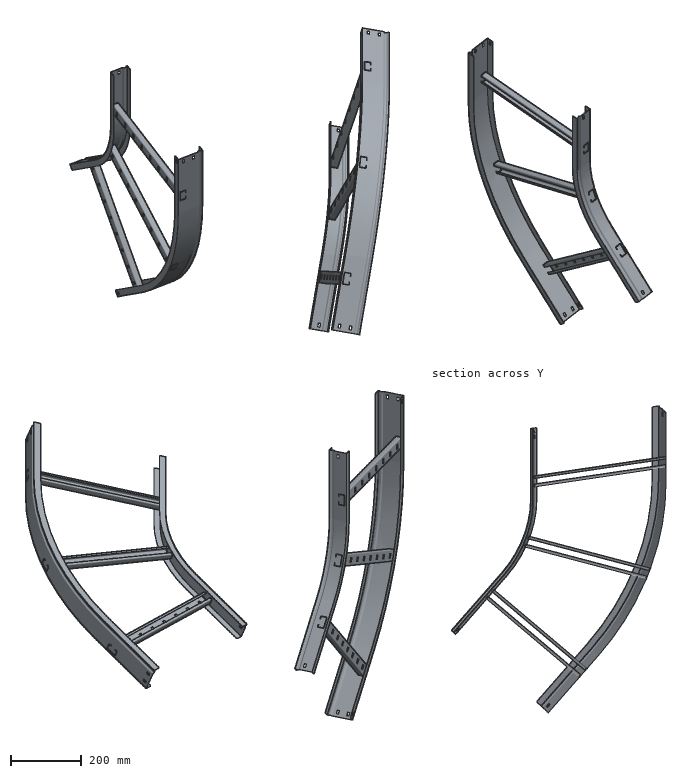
import cadquery as cq
import math


overall_height = 865.0
bend_angle = 45.0
inner_radius = 301.0
ladder_width = 401.0
outer_radius = inner_radius + ladder_width
bend_sine = math.sin(math.radians(bend_angle))
straight_length = (overall_height - outer_radius * bend_sine) / (1 + bend_sine)

sheet = 1.5
inner_rail_height = 54.5
outer_rail_height = 80.0
inner_flange = 19.0
outer_flange = 21.0
tip_chamfer = 3.0
bead_depth = 3.5
bead_start = 4.0
bead_slope = 3.5
bead_flat = 5.0
bead_corner = 1.3
bead_end = bead_start + 2 * bead_slope + bead_flat

rail_slot_length = 10.0
rail_slot_width = 6.0
rail_slot_inset = 15.0
inner_slot_heights = [inner_rail_height / 2]
outer_slot_heights = [18.0, 50.0]

rung_width = 35.0
rung_depth = 20.0
rung_front = 6.0
rung_gap = 17.0
rung_corner = 3.0
rung_setback = 66.0
rung_slot_count = 8
rung_slot_pitch = 49.0
rung_slot_start = 25.0
rung_slot_length = 13.0
rung_slot_width = 7.0


def turn(body, angle):
    """Turn a body about the bend axis, from the upper end towards the lower end."""
    return body.rotate((0, 0, 0), (0, 1, 0), angle)


def slot_cutter(plane, centre, length, width):
    """A rectangular slot, long along Z, that cuts through the sheet around its centre."""
    slot = cq.Workplane(plane, origin=centre).rect(width, length)
    return slot.extrude(2 * sheet, both=True)


def straight_leg(outline, direction):
    """Leg of the given cross-section, running from the bend along +Z or -Z."""
    return cq.Workplane("XY").add(outline).toPending().extrude(direction * straight_length)


def bent_bar(outline, upper_leg, lower_leg):
    """Join two straight legs to the 45 degree arc of the same cross-section."""
    arc = cq.Workplane("XY").add(outline).toPending().revolve(bend_angle, (0, 0, 0), (0, 1, 0))
    return upper_leg.union(arc).union(turn(lower_leg, bend_angle))


def rail_outline(web, inward, flange, height):
    """Channel cross-section; `inward` is the sign of the direction from the web to the flange tips."""
    bead_bottom = height - bead_end
    bead_top = height - bead_start
    bead_levels = [bead_bottom, bead_bottom + bead_slope, bead_top - bead_slope, bead_top]
    bead_offsets = [0, bead_depth, bead_depth, 0]
    outside = [(0, 0)] + list(zip(bead_offsets, bead_levels)) + [(0, height), (flange, height)]
    inside = [(flange, sheet), (sheet, sheet)]
    inside += [(offset + sheet, level) for offset, level in zip(bead_offsets, bead_levels)]
    inside += [(sheet, height - sheet), (flange, height - sheet)]
    corners = outside + inside[::-1] + [(flange, 0)]
    outline = cq.Wire.makePolygon([cq.Vector(web + inward * x, y, 0) for x, y in corners], close=True)
    half_sheet = sheet / 2
    bead_corners = [corner for corner in outline.Vertices()
                    if bead_bottom - half_sheet < corner.Y < bead_top + half_sheet]
    return outline.fillet2D(bead_corner, bead_corners)


def rail_leg(outline, direction, web, inward, slot_heights, flange_slot_offset):
    """Straight leg of a rail, with chamfered flange tips and slots near its end."""
    end_face = ">Z" if direction > 0 else "<Z"
    tips = ">X" if inward > 0 else "<X"
    leg = straight_leg(outline, direction)
    leg = leg.faces(end_face).edges("|Y").edges(tips).chamfer(tip_chamfer)
    slot_z = direction * (straight_length - rail_slot_inset)
    for level in slot_heights:
        leg = leg.cut(slot_cutter("YZ", (web, level, slot_z), rail_slot_length, rail_slot_width))
    if flange_slot_offset is not None:
        slot_x = web + inward * flange_slot_offset
        leg = leg.cut(slot_cutter("XZ", (slot_x, 0, slot_z), rail_slot_length, rail_slot_width))
    return leg


def make_rail(web, inward, flange, height, slot_heights, flange_slot_offset=None):
    outline = rail_outline(web, inward, flange, height)
    upper_leg, lower_leg = [rail_leg(outline, direction, web, inward, slot_heights, flange_slot_offset)
                            for direction in (1, -1)]
    return bent_bar(outline, upper_leg, lower_leg)


def make_envelope():
    """Solid band between the outer web faces of the two rails."""
    corners = [(inner_radius, 0), (inner_radius, outer_rail_height),
               (outer_radius, outer_rail_height), (outer_radius, 0)]
    outline = cq.Wire.makePolygon([cq.Vector(x, y, 0) for x, y in corners], close=True)
    return bent_bar(outline, straight_leg(outline, 1), straight_leg(outline, -1))


def make_rung():
    """Lipped channel along X, open at the back, with a row of slots in its front face."""
    length = ladder_width + 2 * sheet
    blank = cq.Workplane("XY").box(length, rung_depth, rung_width)
    blank = blank.edges("|X").fillet(rung_corner)
    core = cq.Workplane("XY").box(length, rung_depth - 2 * sheet, rung_width - 2 * sheet)
    core = core.edges("|X").fillet(rung_corner - sheet)
    opening = cq.Workplane("XY").box(length, rung_depth, rung_gap).translate((0, rung_depth / 2, 0))
    rung = blank.cut(core).cut(opening)
    rung = rung.translate(((inner_radius + outer_radius) / 2, rung_front + rung_depth / 2, 0))
    for index in range(rung_slot_count):
        slot_x = inner_radius + rung_slot_start + index * rung_slot_pitch
        rung = rung.cut(slot_cutter("XZ", (slot_x, rung_front, 0), rung_slot_length, rung_slot_width))
    return rung


envelope = make_envelope()
rung_places = [
    make_rung().translate((0, 0, rung_setback)),
    turn(make_rung(), bend_angle / 2),
    turn(make_rung().translate((0, 0, -rung_setback)), bend_angle),
]
rungs = [rung.intersect(envelope) for rung in rung_places]

inner_rail = make_rail(inner_radius, 1, inner_flange, inner_rail_height, inner_slot_heights)
outer_rail = make_rail(outer_radius, -1, outer_flange, outer_rail_height, outer_slot_heights,
                       flange_slot_offset=outer_flange / 2)
for rung in rungs:
    inner_rail = inner_rail.cut(rung)
    outer_rail = outer_rail.cut(rung)

result = cq.Compound.makeCompound([
    inner_rail.solids().val(),
    outer_rail.solids().val(),
    *[rung.solids().val() for rung in rungs],
])